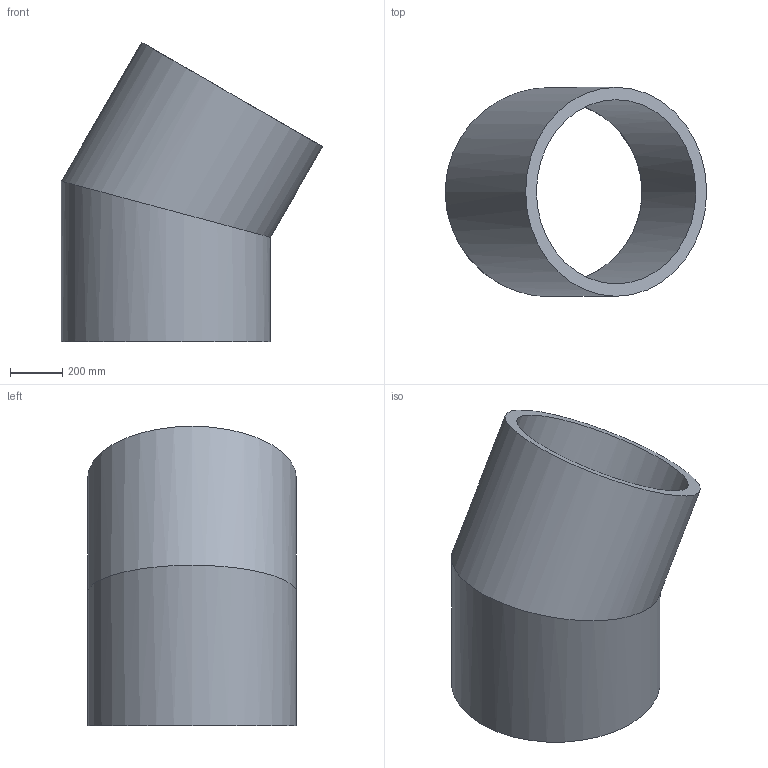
import cadquery as cq
import math

outer_diameter = 800.0
inner_diameter = 705.2
bend_angle = 30.0
short_side_length = 400.0

mitre_angle = math.radians(bend_angle / 2)
leg_length = short_side_length + outer_diameter / 2 * math.tan(mitre_angle)

lean = math.radians(bend_angle)
bend_point = (0, leg_length)
upper_end = (leg_length * math.sin(lean), leg_length + leg_length * math.cos(lean))


def mitred_rod(diameter):
    """Solid round rod following the bent centreline, with a sharp mitre at the bend."""
    centreline = cq.Workplane("XZ").polyline([(0, 0), bend_point, upper_end])
    return cq.Workplane("XY").circle(diameter / 2).sweep(centreline, transition="right")


result = mitred_rod(outer_diameter).cut(mitred_rod(inner_diameter))